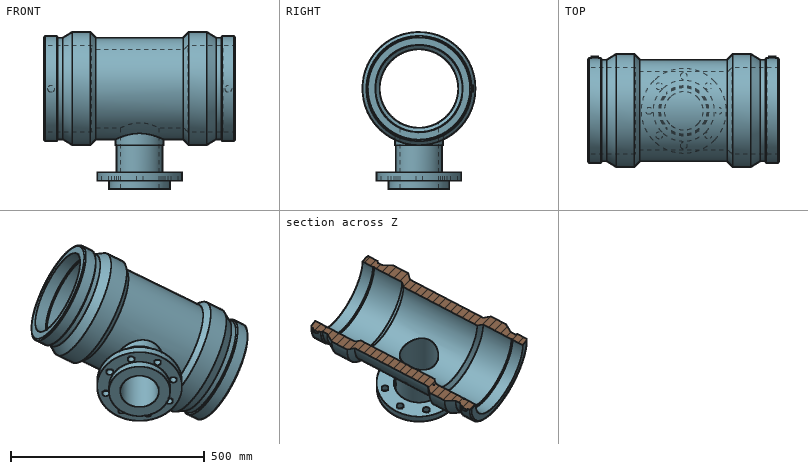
import cadquery as cq

length = 494.0
half_length = length / 2
barrel_radius = 264.0 / 2
barrel_bore_radius = 202.5 / 2
socket_radius = 293.0 / 2
socket_bore_radius = 225.0 / 2

ring_length = 35.5
ring_chamfer_length = 3.0
front_cone_start = 49.0
front_cone_end = 73.0
rear_cone_start = 120.0
rear_cone_end = 134.5
seat_start = 122.0
seat_length = 11.5

ring_radius = 272.5 / 2
ring_face_radius = 264.5 / 2
groove_width = 3.5
groove_depth = 1.5

stud_radius = 18.0 / 2
stud_offset = ring_length / 2
stud_tip = 140.5

branch_radius = 120.0 / 2
branch_bore_radius = 100.0 / 2
collar_radius = 125.0 / 2
collar_bottom = -socket_radius
flange_radius = 220.0 / 2
flange_bore_radius = 130.0 / 2
flange_thickness = 22.5
stub_radius = 158.0 / 2
stub_thickness = 21.0
height = 406.5
branch_bottom = socket_radius - height
stub_top = branch_bottom + stub_thickness
bolt_hole_diameter = 18.0
bolt_circle_radius = 180.0 / 2
bolt_count = 8


def revolve_about_x(half_profile):
    """Revolve (distance from mouth, radius) points, mirrored to both ends, about X."""
    left = [(depth - half_length, radius) for depth, radius in half_profile]
    right = [(-x, radius) for x, radius in reversed(left)]
    outline = [(-half_length, 0)] + left + right + [(half_length, 0)]
    return cq.Workplane("XY").polyline(outline).close().revolve(360, (0, 0, 0), (1, 0, 0))


def cylinder_up(radius, bottom, top):
    return cq.Workplane("XY").workplane(offset=bottom).circle(radius).extrude(top - bottom)


pipe = revolve_about_x([
    (0, ring_face_radius),
    (ring_chamfer_length, ring_radius),
    (ring_length - ring_chamfer_length, ring_radius),
    (ring_length, barrel_radius),
    (front_cone_start, barrel_radius),
    (front_cone_end, socket_radius),
    (rear_cone_start, socket_radius),
    (rear_cone_end, barrel_radius),
])

pipe_bore = revolve_about_x([
    (0, socket_bore_radius),
    (ring_length - groove_width, socket_bore_radius),
    (ring_length - groove_width, socket_bore_radius + groove_depth),
    (ring_length, socket_bore_radius + groove_depth),
    (ring_length, socket_bore_radius),
    (seat_start, socket_bore_radius),
    (seat_start + seat_length, barrel_bore_radius),
])

branch = cylinder_up(branch_radius, branch_bottom, 0)
branch = branch.union(cylinder_up(collar_radius, collar_bottom, 0))
branch = branch.union(cylinder_up(stub_radius, branch_bottom, stub_top))

flange = (
    cq.Workplane("XY")
    .workplane(offset=stub_top)
    .circle(flange_radius)
    .circle(flange_bore_radius)
    .extrude(flange_thickness)
    .faces(">Z")
    .workplane(origin=(0, 0, 0))
    .polarArray(bolt_circle_radius, 0, 360, bolt_count)
    .hole(bolt_hole_diameter)
)

stud_root = (socket_bore_radius + ring_radius) / 2
studs = (
    cq.Workplane("XZ", origin=(0, stud_root, 0))
    .pushPoints([(side * (half_length - stud_offset), 0) for side in (-1, 1)])
    .circle(stud_radius)
    .extrude(stud_root - stud_tip)
)

body = pipe.union(branch).union(flange).union(studs)
branch_bore = cylinder_up(branch_bore_radius, branch_bottom, 0)
result = body.cut(pipe_bore).cut(branch_bore)